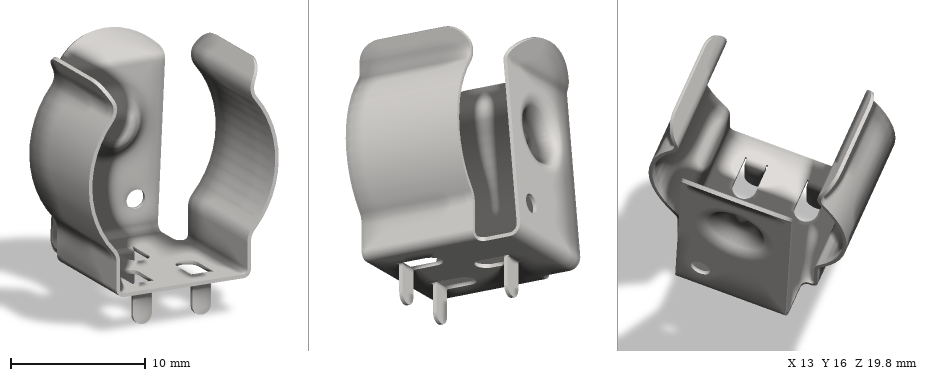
import cadquery as cq
import math


sheet = 0.3
top_height = 16.76
clip_length = 9.63

arm_radius = 7.99
wall_offset = 5.65
wall_top = 2.8
base_bend = 0.38
arm_lower_bend = 1.29
arm_upper_bend = 1.19
neck_offset = 5.91
flap_angle = 30
flap_corner = 1.98

leaf_reach = 3.38
leaf_width = 8.9
leaf_lean = 5
leaf_bend = 0.61
leaf_length = 13.05
leaf_tip_bend = 0.8
leaf_tip_angle = 25.6
leaf_crown = 5.5
leaf_corner = 1.38
notch_fillet = 0.5

cup_height = 9.53
cup_mouth = 3.18
cup_floor = 0.87
cup_angle = 44.5
cup_mouth_bend = 1.0
cup_floor_bend = 0.65
dome_radius = 0.53
dome_height = 0.24
dome_fillet = 0.14

hole_diameter = 1.55
hole_height = 3.05

tab_pitch = 2.5
tab_width = 1.58
tab_depth = 3.0
tab_bend = 0.14
tab_tip_round = 0.77
slot_width = 1.82
slot_length = 3.32
middle_tab_bend_line = -0.3
outer_tab_bend_line = 7.89


def sin(degrees):
    return math.sin(math.radians(degrees))


def cos(degrees):
    return math.cos(math.radians(degrees))


def sheet_strip(plane, start, heading, moves):
    """Closed section of bent sheet, traced along its middle line.

    Each move is (straight length, turn, inside radius); a positive turn is
    counterclockwise and a zero turn is a plain straight end. Returns the closed
    section and the end point of its middle line.
    """
    half = sheet / 2
    x, y = start

    def side_point(center, direction, distance):
        return (center[0] - distance * sin(direction), center[1] + distance * cos(direction))

    sides = {half: [], -half: []}
    first = {side: side_point((x, y), heading, side) for side in sides}
    for length, turn, inside in moves:
        x += length * cos(heading)
        y += length * sin(heading)
        if length:
            for side, path in sides.items():
                path.append((side_point((x, y), heading, side),))
        if turn:
            pivot_distance = math.copysign(inside + half, turn)
            pivot = side_point((x, y), heading, pivot_distance)
            for side, path in sides.items():
                middle = side_point(pivot, heading + turn / 2, side - pivot_distance)
                end = side_point(pivot, heading + turn, side - pivot_distance)
                path.append((middle, end))
            heading += turn
            x, y = side_point(pivot, heading, -pivot_distance)

    section = cq.Workplane(plane).moveTo(*first[-half]).lineTo(*first[half])
    for step in sides[half]:
        section = section.lineTo(*step[0]) if len(step) == 1 else section.threePointArc(*step)
    back = sides[-half]
    section = section.lineTo(*back[-1][-1])
    targets = [first[-half]] + [step[-1] for step in back[:-1]]
    for step, target in zip(reversed(back), reversed(targets)):
        if len(step) == 1:
            section = section.lineTo(*target)
        else:
            section = section.threePointArc(step[0], target)
    return section.close(), (x, y)


def make_arm():
    """Half base, wall, round grip and flap on the +Y side."""
    lower_reach = arm_radius + arm_lower_bend
    upper_reach = arm_radius + arm_upper_bend
    lower_sweep = math.degrees(math.acos((wall_offset + arm_lower_bend) / lower_reach))
    upper_sweep = math.degrees(math.acos((neck_offset + arm_upper_bend) / upper_reach))
    grip_center = wall_top + lower_reach * sin(lower_sweep)
    upper_pivot = grip_center + upper_reach * sin(upper_sweep)
    flap_start = upper_pivot + (arm_upper_bend + sheet) * sin(flap_angle)
    flap_length = (top_height - flap_start) / cos(flap_angle)
    moves = [
        (wall_offset - base_bend - sheet, 90, base_bend),
        (wall_top - base_bend - sheet, -lower_sweep, arm_lower_bend),
        (0, lower_sweep + upper_sweep, arm_radius - sheet),
        (0, -upper_sweep - flap_angle, arm_upper_bend),
        (flap_length, 0, 0),
    ]
    section, tip = sheet_strip("YZ", (0, sheet / 2), 0, moves)
    arm = section.extrude(clip_length)

    flap_plane = cq.Plane(
        origin=(clip_length / 2, *tip), xDir=(1, 0, 0), normal=(0, -cos(flap_angle), sin(flap_angle))
    )
    edge = clip_length / 2
    corner = (
        cq.Workplane(flap_plane)
        .moveTo(edge, 0)
        .lineTo(edge - flap_corner, 0)
        .radiusArc((edge, -flap_corner), flap_corner)
        .close()
        .extrude(2 * sheet, both=True)
    )
    return arm.cut(corner).cut(corner.mirror("YZ", (clip_length / 2, 0, 0)))


def make_leaf():
    """Front strip of the base, the leaning leaf and its rounded tip."""
    bend_outside = leaf_bend + sheet
    tip_bend_start = bend_outside * (1 + sin(leaf_lean)) + leaf_length * cos(leaf_lean)
    tip_pivot = tip_bend_start + leaf_tip_bend * sin(leaf_lean)
    tip_start = tip_pivot + (leaf_tip_bend + sheet) * sin(leaf_tip_angle)
    tip_length = (top_height - tip_start) / cos(leaf_tip_angle)
    moves = [
        (leaf_reach - bend_outside, -90 - leaf_lean, leaf_bend),
        (leaf_length, leaf_lean + leaf_tip_angle, leaf_tip_bend),
        (tip_length, 0, 0),
    ]
    section, tip = sheet_strip("XZ", (0, sheet / 2), 180, moves)
    half_width = leaf_width / 2
    leaf = section.extrude(half_width, both=True)

    tip_plane = cq.Plane(
        origin=(tip[0], 0, tip[1]), xDir=(0, 1, 0), normal=(cos(leaf_tip_angle), 0, sin(leaf_tip_angle))
    )
    spread = math.degrees(math.asin((half_width - leaf_corner) / (leaf_crown - leaf_corner)))
    joint = (leaf_crown * sin(spread), leaf_crown * (cos(spread) - 1))
    corner_end = joint[1] - leaf_corner * cos(spread)
    corner = (
        cq.Workplane(tip_plane)
        .moveTo(half_width, 0)
        .lineTo(0, 0)
        .radiusArc(joint, leaf_crown)
        .radiusArc((half_width, corner_end), leaf_corner)
        .close()
        .extrude(2 * sheet, both=True)
    )
    return leaf.cut(corner).cut(corner.mirror("XZ"))


def leaf_face_point(height):
    """Point (x, z) of the outer leaf face at a height, on the straight leaning stretch."""
    bend_outside = leaf_bend + sheet
    face_x = -leaf_reach + bend_outside * (1 - cos(leaf_lean))
    face_z = bend_outside * (1 + sin(leaf_lean))
    return face_x + (height - face_z) * math.tan(math.radians(leaf_lean)), height


def press_cup(leaf):
    """Replace a disc of the leaf by a cup with a small dome on its floor."""
    x, z = leaf_face_point(cup_height)
    plane = cq.Plane(origin=(x, 0, z), xDir=(0, 1, 0), normal=(-sin(leaf_lean), 0, -cos(leaf_lean)))
    axis = ((0, 0), (0, 1))
    bend_run = (cup_mouth_bend + cup_floor_bend + sheet) * sin(cup_angle)
    cone_run = cup_mouth - cup_floor - bend_run
    moves = [
        (0, -cup_angle, cup_mouth_bend),
        (cone_run / cos(cup_angle), cup_angle, cup_floor_bend),
        (cup_floor, 0, 0),
    ]
    section, floor_center = sheet_strip(plane, (cup_mouth, sheet / 2), 180, moves)
    cup = section.revolve(360, *axis)

    floor_face = floor_center[1] - sheet / 2
    cap_radius = (dome_radius**2 + dome_height**2) / (2 * dome_height)
    dome = (
        cq.Workplane(plane)
        .moveTo(0, floor_face + sheet / 2)
        .lineTo(dome_radius, floor_face + sheet / 2)
        .lineTo(dome_radius, floor_face)
        .radiusArc((0, floor_face - dome_height), cap_radius)
        .close()
        .revolve(360, *axis)
    )
    cup = cup.union(dome)
    cup = cup.edges("%CIRCLE").edges(cq.selectors.RadiusNthSelector(0)).fillet(dome_fillet)

    opening = cq.Workplane(plane).rect(cup_mouth, sheet, centered=False).revolve(360, *axis)
    return leaf.cut(opening).union(cup)


def drill_leaf_hole(leaf):
    """Small hole square to the leaf, in line with the +Y tab."""
    x, z = leaf_face_point(hole_height)
    plane = cq.Plane(
        origin=(x, tab_pitch, z), xDir=(0, 1, 0), normal=(cos(leaf_lean), 0, -sin(leaf_lean))
    )
    return leaf.cut(cq.Workplane(plane).circle(hole_diameter / 2).extrude(2 * sheet, both=True))


def make_notch_fillet():
    """Fills the inner corner between the front strip of the base and the +Y arm."""
    edge = leaf_width / 2
    return (
        cq.Workplane("XY")
        .moveTo(0, edge)
        .lineTo(-notch_fillet, edge)
        .radiusArc((0, edge + notch_fillet), -notch_fillet)
        .close()
        .extrude(sheet)
    )


def make_slot():
    """Round-ended slot running in +X from the tab bend line at X = 0."""
    round_center = slot_length - slot_width / 2
    block = cq.Workplane("XY").rect(round_center, slot_width).extrude(sheet)
    return block.translate((round_center / 2, 0, 0)).union(
        cq.Workplane("XY").center(round_center, 0).circle(slot_width / 2).extrude(sheet)
    )


def make_tab():
    """Tab with a round tip, bent down from the bend line at X = 0 into the slot."""
    moves = [
        (0, -90, tab_bend),
        (tab_depth - tab_bend, 0, 0),
    ]
    section, _ = sheet_strip("XZ", (0, sheet / 2), 0, moves)
    tab = section.extrude(tab_width / 2, both=True)
    return tab.edges("|X and <Z").fillet(tab_tip_round)


half_arms = make_arm().union(make_notch_fillet())
leaf = drill_leaf_hole(press_cup(make_leaf()))
result = half_arms.union(half_arms.mirror("XZ")).union(leaf)

tab_places = [
    (middle_tab_bend_line, 0, 0),
    (outer_tab_bend_line, tab_pitch, 180),
    (outer_tab_bend_line, -tab_pitch, 180),
]
for x, y, rotation in tab_places:
    place = cq.Location(cq.Vector(x, y, 0), cq.Vector(0, 0, 1), rotation)
    result = result.cut(cq.Workplane(make_slot().val().moved(place)))
    result = result.union(cq.Workplane(make_tab().val().moved(place)))